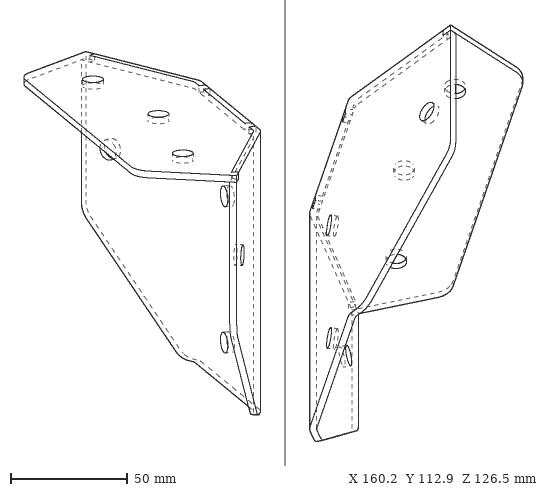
import cadquery as cq
import math

height = 126.5
thickness = 3.0
bend_angle = 30.0
bend_inner_radius = 3.0
overall_x = 160.2
flange_length = 63.8
hole_diameter = 9.0
corner_radius = 10.0

flange_edge_height = 71.3
wall_hole_depth = 40.7
lower_hole_depth = 106.7
flange_hole_inset = 14.9

plate_end_length = 44.0
plate_center_hole_inset = 33.2
plate_side_hole_inset = 42.6
plate_side_hole_offset = 55.1

flange_tab_inset = 4.8
corner_tab_reach = 6.5
center_tab_inset = 11.9

cos_bend = math.cos(math.radians(bend_angle))
sin_bend = math.sin(math.radians(bend_angle))
center_length = (overall_x - flange_length * (1 + math.cos(math.radians(2 * bend_angle)))) / cos_bend
half_center = center_length / 2
end_x = half_center + flange_length * cos_bend
end_y = -flange_length * sin_bend
inner_corner_x = half_center - thickness * math.tan(math.radians(bend_angle / 2))
trim_run = height - flange_edge_height
clearance = 1.6

flange_frame = cq.Location(
    cq.Plane(
        origin=(end_x, end_y, 0),
        xDir=(-cos_bend, sin_bend, 0),
        normal=(sin_bend, cos_bend, 0),
    )
)


def both_sides(solid):
    """Return a right-hand solid and its mirror image on the left."""
    return [solid, solid.mirror("YZ")]


def bent_sheet():
    """Full-height sheet with two rounded bends."""
    inner_end_x = end_x - thickness * sin_bend
    inner_end_y = end_y - thickness * cos_bend
    outline = [
        (-end_x, end_y),
        (-half_center, 0),
        (half_center, 0),
        (end_x, end_y),
        (inner_end_x, inner_end_y),
        (inner_corner_x, -thickness),
        (-inner_corner_x, -thickness),
        (-inner_end_x, inner_end_y),
    ]
    sheet = cq.Workplane("XY").polyline(outline).close().extrude(-height)
    for side in (-1, 1):
        outer_bend = cq.selectors.NearestToPointSelector((side * half_center, 0, -height / 2))
        sheet = sheet.edges(outer_bend).fillet(bend_inner_radius + thickness)
        inner_bend = cq.selectors.NearestToPointSelector((side * inner_corner_x, -thickness, -height / 2))
        sheet = sheet.edges(inner_bend).fillet(bend_inner_radius)
    return sheet


def flange_trim():
    """Waste below the sloping lower edge of the right flange."""
    depth = thickness + 2 * clearance
    outline = [
        (0, 0),
        (0, -flange_edge_height),
        (trim_run, -height),
        (flange_length, -height),
        (flange_length, 0),
    ]
    panel = cq.Workplane("XY").polyline(outline).close().extrude(depth)
    for x, y in outline[1:3]:
        corner = cq.selectors.NearestToPointSelector((x, y, depth / 2))
        panel = panel.edges(corner).fillet(corner_radius)
    blank = cq.Workplane("XY").rect(flange_length, -height, centered=False).extrude(depth)
    waste = blank.cut(panel).translate((0, 0, -thickness - clearance))
    return waste.val().moved(flange_frame)


def flange_hole():
    hole = (
        cq.Workplane("XY", origin=(0, 0, clearance))
        .center(flange_hole_inset, -wall_hole_depth)
        .circle(hole_diameter / 2)
        .extrude(-thickness - 2 * clearance)
    )
    return hole.val().moved(flange_frame)


def flange_end_notch():
    """Notch that lets the plate cover the free end of the right flange."""
    notch = (
        cq.Workplane("XY")
        .box(flange_tab_inset + clearance, thickness + clearance, thickness + 2 * clearance, centered=False)
        .translate((-clearance, -thickness, -thickness - clearance))
    )
    return notch.val().moved(flange_frame)


def center_notch():
    """Notch between the right corner tab and the center tab."""
    return (
        cq.Workplane("XY")
        .box(center_tab_inset - corner_tab_reach, thickness + 2 * clearance, thickness + clearance, centered=False)
        .translate((half_center - center_tab_inset, -thickness - clearance, -thickness))
        .val()
    )


def make_wall():
    wall = bent_sheet()
    for tool in (flange_trim(), flange_hole(), flange_end_notch(), center_notch()):
        for cutter in both_sides(tool):
            wall = wall.cut(cq.Workplane(cutter))
    center_holes = (
        cq.Workplane("XZ", origin=(0, clearance, 0))
        .pushPoints([(0, -wall_hole_depth), (0, -lower_hole_depth)])
        .circle(hole_diameter / 2)
        .extrude(thickness + 2 * clearance)
    )
    return wall.cut(center_holes)


def make_plate(wall):
    """Top plate, notched around the tabs of the wall."""
    front_x = end_x - plate_end_length * sin_bend
    front_y = end_y - plate_end_length * cos_bend
    outline = [
        (-end_x, end_y),
        (-half_center, 0),
        (half_center, 0),
        (end_x, end_y),
        (front_x, front_y),
        (-front_x, front_y),
    ]
    holes = [
        (0, -plate_center_hole_inset),
        (-plate_side_hole_offset, -plate_side_hole_inset),
        (plate_side_hole_offset, -plate_side_hole_inset),
    ]
    plate = cq.Workplane("XY").polyline(outline).close().extrude(-thickness)
    for side in (-1, 1):
        front_corner = cq.selectors.NearestToPointSelector((side * front_x, front_y, -thickness / 2))
        plate = plate.edges(front_corner).fillet(corner_radius)
        outer_bend = cq.selectors.NearestToPointSelector((side * half_center, 0, -thickness / 2))
        plate = plate.edges(outer_bend).fillet(bend_inner_radius + thickness)
    plate = plate.faces(">Z").workplane(origin=(0, 0, 0)).pushPoints(holes).hole(hole_diameter)
    return plate.cut(wall)


def place(body):
    """Put the left flange along X, with its free outer corner at the origin."""
    return body.translate((end_x, -end_y, 0)).rotate((0, 0, 0), (0, 0, 1), -bend_angle)


wall = make_wall()
plate = make_plate(wall)

result = cq.Compound.makeCompound([place(wall).val(), place(plate).val()])